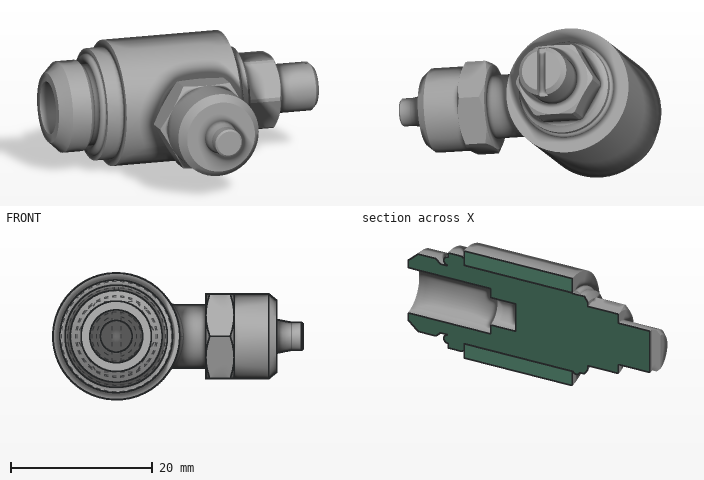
import cadquery as cq
import math


sleeve_dia = 18.0
sleeve_start = 8.8
sleeve_end = 25.9
bolt_dia = 13.05

arm_y = 18.37
arm_dia = 9.0
arm_root_fillet = 0.47
arm_hex_start = 12.72
arm_hex_end = 16.7
arm_hex_flats = 12.0
cap_dia = 12.0
cap_chamfer_start = 21.65
cap_end = 22.8
cap_end_dia = 10.1
nozzle_root_dia = 4.8
nozzle_dia = 4.0
nozzle_taper_end = 24.8
nozzle_end = 26.5
nozzle_chamfer = 0.25

tip_dia = 10.0
tip_chamfer_end = 1.62
thread_end = 4.43
neck_start = 5.15
neck_dia = 11.6

collar_start = 6.32
collar_end = 8.6
collar_dia = 16.0
shoulder_dia = 15.65
seal_dia = 14.55
seal_thickness = 1.45
seal_y = 6.35

ring_dia = 13.85
ring_thickness = 1.15
ring_gap = 0.5
ring_seat_dia = 13.0
flange_start = sleeve_end + ring_thickness
flange_chamfer_start = 27.8
flange_end = 28.35
flange_top_dia = 11.25

bolt_hex_flats = 10.0
bolt_hex_corner_dia = 11.25
bolt_hex_end = 33.2
stem_dia = 7.0
stem_end = 39.5
stem_chamfer = 0.65
slot_width = 1.25
slot_depth = 1.35

bore_dia = 7.5
bore_depth = 13.05
inner_bore_dia = 4.5
inner_bore_depth = 17.0

hex_chamfer_slope = math.tan(math.radians(30))


def turned_y(sections):
    """Solid of revolution about Y from (diameter, y) pairs."""
    radii = [(dia / 2, y) for dia, y in sections]
    outline = [(0, sections[0][1]), *radii, (0, sections[-1][1])]
    return cq.Workplane("XY").polyline(outline).close().revolve(360, (0, 0), (0, 1))


def turned_x(sections):
    """Solid of revolution about the arm axis from (x, diameter) pairs."""
    radii = [(x, dia / 2) for x, dia in sections]
    outline = [(sections[0][0], 0), *radii, (sections[-1][0], 0)]
    turned = cq.Workplane("XY").polyline(outline).close().revolve(360, (0, 0), (1, 0))
    return turned.translate((0, arm_y, 0))


def cylinder_y(dia, start, end):
    return turned_y([(dia, start), (dia, end)])


def torus_y(outer_dia, thickness, y):
    """Round-section ring about the bolt axis."""
    center_radius = (outer_dia - thickness) / 2
    section = cq.Workplane("XY").center(center_radius, y).circle(thickness / 2)
    return section.revolve(360, (-center_radius, 0), (-center_radius, 1))


def arm_hex():
    """Hexagon with flats facing +Z and -Z, its corners chamfered at both ends."""
    corner_dia = arm_hex_flats / math.cos(math.pi / 6)
    length = arm_hex_end - arm_hex_start
    prism = cq.Workplane("YZ", origin=(arm_hex_start, arm_y, 0)).polygon(6, corner_dia).extrude(length)
    chamfer = (corner_dia - arm_hex_flats) / 2 * hex_chamfer_slope
    envelope = turned_x([
        (arm_hex_start, arm_hex_flats),
        (arm_hex_start + chamfer, corner_dia),
        (arm_hex_end - chamfer, corner_dia),
        (arm_hex_end, arm_hex_flats),
    ])
    return prism.intersect(envelope)


def bolt_hex():
    """Hexagon with flats facing +Z and -Z, rounded corners and a chamfered outer end."""
    polygon_dia = bolt_hex_flats / math.cos(math.pi / 6)
    length = bolt_hex_end - flange_end
    prism = cq.Workplane("XZ", origin=(0, bolt_hex_end, 0)).polygon(6, polygon_dia).extrude(length)
    chamfer = (bolt_hex_corner_dia - bolt_hex_flats) / 2 * hex_chamfer_slope
    envelope = turned_y([
        (bolt_hex_corner_dia, flange_end),
        (bolt_hex_corner_dia, bolt_hex_end - chamfer),
        (bolt_hex_flats, bolt_hex_end),
    ])
    return prism.intersect(envelope)


def retaining_ring():
    """Round-wire ring resting on the sleeve, split on the +Z side."""
    ring_y = sleeve_end + ring_thickness / 2
    ring = torus_y(ring_dia, ring_thickness, ring_y)
    gap = cq.Workplane("XY").box(ring_gap, ring_thickness, ring_dia, centered=(True, True, False))
    return ring.cut(gap.translate((0, ring_y, 0)))


def make_housing():
    sleeve = cylinder_y(sleeve_dia, sleeve_start, sleeve_end)
    arm = turned_x([(0, arm_dia), (arm_hex_start, arm_dia)])
    body = sleeve.union(arm)
    body = body.edges("not(%CIRCLE or %LINE)").fillet(arm_root_fillet)
    end_fitting = turned_x([
        (arm_hex_start, arm_dia),
        (arm_hex_end, arm_dia),
        (arm_hex_end, cap_dia),
        (cap_chamfer_start, cap_dia),
        (cap_end, cap_end_dia),
        (cap_end, nozzle_root_dia),
        (nozzle_taper_end, nozzle_dia),
        (nozzle_end - nozzle_chamfer, nozzle_dia),
        (nozzle_end, nozzle_dia - 2 * nozzle_chamfer),
    ])
    body = body.union(end_fitting).union(arm_hex())
    return body.cut(cylinder_y(bolt_dia, sleeve_start, sleeve_end))


def make_bolt():
    body = turned_y([
        (tip_dia, 0),
        (bolt_dia, tip_chamfer_end),
        (bolt_dia, thread_end),
        (neck_dia, neck_start),
        (neck_dia, collar_start),
        (collar_dia, collar_start),
        (collar_dia, collar_end),
        (shoulder_dia, collar_end),
        (shoulder_dia, sleeve_start),
        (bolt_dia, sleeve_start),
        (bolt_dia, sleeve_end),
        (ring_seat_dia, sleeve_end),
        (ring_seat_dia, flange_start),
        (bolt_dia, flange_start),
        (bolt_dia, flange_chamfer_start),
        (flange_top_dia, flange_end),
        (stem_dia, flange_end),
        (stem_dia, stem_end - stem_chamfer),
        (stem_dia - 2 * stem_chamfer, stem_end),
    ])
    body = body.union(torus_y(seal_dia, seal_thickness, seal_y))
    body = body.union(retaining_ring()).union(bolt_hex())
    slot = cq.Workplane("XY").box(slot_width, slot_depth, stem_dia)
    body = body.cut(slot.translate((0, stem_end - slot_depth / 2, 0)))
    body = body.cut(cylinder_y(bore_dia, 0, bore_depth))
    return body.cut(cylinder_y(inner_bore_dia, bore_depth, inner_bore_depth))


housing = make_housing()
bolt = make_bolt()

result = cq.Compound.makeCompound([housing.solids().val(), bolt.solids().val()])